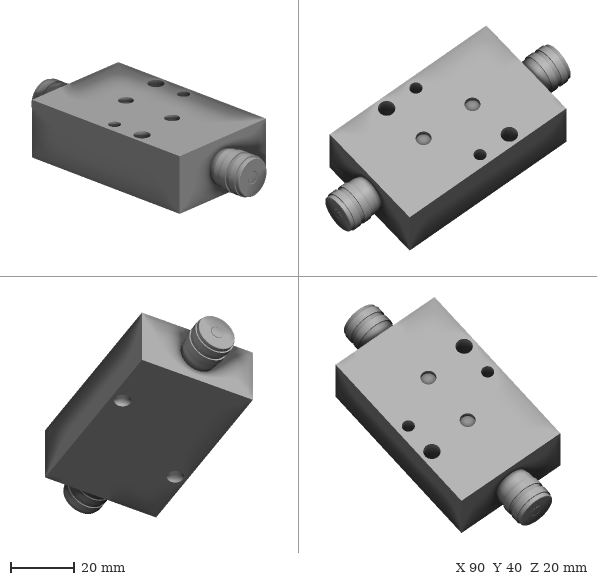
import cadquery as cq
import math

total_length = 90.0
body_length = 64.0
body_width = 40.0
body_height = 20.0
top_z = body_height / 2

plug_length = (total_length - body_length) / 2
plug_radius = 13.0 / 2
plug_root_radius = 6.0
taper_start = 10.9
rib_radius = 13.9 / 2
rib_width = 2.4
rib_starts = (1.5, 5.6)
tip_chamfer = 0.2
core_radius = 4.0 / 2
groove_width = 0.2
groove_depth = 0.2

hole_row_y = 16.0
mounting_diameter = 5.5
mounting_x = 12.0
port_diameter = 5.0
port_depth = 1.6
port_x = 10.0
screw_diameter = 4.1
screw_depth = 12.0
drill_tip_angle = 118


def make_plug():
    """Ribbed plug along +Z, with its root at z = 0 and its tip at z = plug_length."""
    barrel_base = plug_length - taper_start
    half_profile = (
        cq.Workplane("XZ")
        .moveTo(0, plug_length)
        .lineTo(plug_radius - tip_chamfer, plug_length)
        .lineTo(plug_radius, plug_length - tip_chamfer)
        .lineTo(plug_radius, barrel_base)
        .lineTo(plug_root_radius, 0)
        .lineTo(0, 0)
        .close()
    )
    plug = half_profile.revolve(360, (0, 0), (0, 1))
    for rib_start in rib_starts:
        rib = (
            cq.Workplane("XY", origin=(0, 0, plug_length - rib_start))
            .circle(rib_radius).extrude(-rib_width)
        )
        plug = plug.union(rib)
    groove = (
        cq.Workplane("XZ")
        .moveTo(core_radius, plug_length)
        .lineTo(core_radius + groove_width, plug_length)
        .lineTo(core_radius, plug_length - groove_depth)
        .close()
        .revolve(360, (0, 0), (0, 1))
    )
    return plug.cut(groove)


def make_screw_hole(y):
    """Blind hole at x = 0 with a conical drill tip."""
    radius = screw_diameter / 2
    tip_depth = radius / math.tan(math.radians(drill_tip_angle / 2))
    half_profile = (
        cq.Workplane("XZ", origin=(0, y, top_z))
        .lineTo(radius, 0)
        .lineTo(radius, -screw_depth)
        .lineTo(0, -screw_depth - tip_depth)
        .close()
    )
    return half_profile.revolve(360, (0, 0), (0, 1))


result = cq.Workplane("XY").box(body_length, body_width, body_height)

for side in (-1, 1):
    plug = make_plug().rotate((0, 0, 0), (0, 1, 0), side * 90)
    result = result.union(plug.translate((side * body_length / 2, 0, 0)))

top_face = cq.Workplane("XY", origin=(0, 0, top_z))
mounting_points = [(-mounting_x, hole_row_y), (mounting_x, -hole_row_y)]
mounting_holes = top_face.pushPoints(mounting_points).circle(mounting_diameter / 2).extrude(-body_height)
result = result.cut(mounting_holes)

port_points = [(-port_x, 0), (port_x, 0)]
ports = top_face.pushPoints(port_points).circle(port_diameter / 2).extrude(-port_depth)
result = result.cut(ports)

for side in (-1, 1):
    result = result.cut(make_screw_hole(side * hole_row_y))